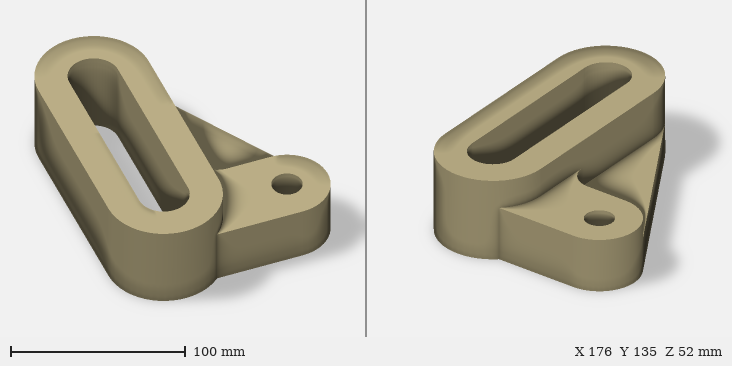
import cadquery as cq
import math

body_length = 176.0
body_radius = 34.0
body_height = 52.0
slot_radius = 15.0
end_spacing = body_length - 2 * body_radius
end_x = end_spacing / 2

lug_radius = 25.0
lug_y = 76.0
lug_height = 34.0
lug_hole_diameter = 18.0
lug_fillet_radius = 15.0

web_height = 22.0


def obround(radius, height):
    """Upright prism with round ends, along the body's centreline."""
    length = end_spacing + 2 * radius
    return cq.Workplane("XY").slot2D(length, 2 * radius).extrude(height)


def make_lug():
    """Round-topped arm, flared into the body by a concave fillet on its left."""
    left_x = end_x - lug_radius
    right_x = end_x + lug_radius
    fillet_x = left_x - lug_fillet_radius
    fillet_y = body_radius + lug_fillet_radius
    diagonal = lug_fillet_radius * math.sqrt(0.5)
    fillet_middle = (fillet_x + diagonal, fillet_y - diagonal)
    return (
        cq.Workplane("XY")
        .moveTo(right_x, 0)
        .lineTo(right_x, lug_y)
        .threePointArc((end_x, lug_y + lug_radius), (left_x, lug_y))
        .lineTo(left_x, fillet_y)
        .threePointArc(fillet_middle, (fillet_x, body_radius))
        .lineTo(fillet_x, 0)
        .close()
        .extrude(lug_height)
    )


def make_web():
    """Plate whose sloping edge is tangent to the lug and the body's left end."""
    center_distance = math.hypot(end_spacing, lug_y)
    slope_angle = math.atan2(lug_y, end_spacing)
    taper_angle = math.asin((body_radius - lug_radius) / center_distance)
    normal_angle = slope_angle + math.pi / 2 - taper_angle
    normal_x = math.cos(normal_angle)
    normal_y = math.sin(normal_angle)
    body_tangent = (-end_x + body_radius * normal_x, body_radius * normal_y)
    lug_tangent = (end_x + lug_radius * normal_x, lug_y + lug_radius * normal_y)
    return (
        cq.Workplane("XY")
        .moveTo(-end_x, 0)
        .lineTo(*body_tangent)
        .lineTo(*lug_tangent)
        .lineTo(end_x, lug_y)
        .lineTo(end_x, 0)
        .close()
        .extrude(web_height)
    )


lug_hole = (
    cq.Workplane("XY")
    .center(end_x, lug_y)
    .circle(lug_hole_diameter / 2)
    .extrude(lug_height)
)

result = (
    obround(body_radius, body_height)
    .union(make_lug())
    .union(make_web())
    .cut(obround(slot_radius, body_height))
    .cut(lug_hole)
)